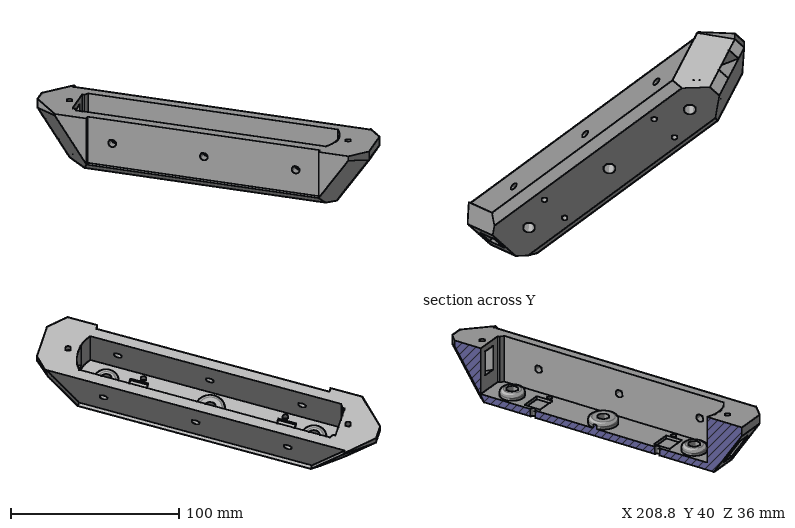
import cadquery as cq
import math

length = 208.8
width = 40.0
height = 36.0
half_length = length / 2
half_width = width / 2
bottom_half_length = 84.4
tip_height = 5.8
left_flat = 4.2
right_flat = 10.2
bottom_chamfer = 5.2
slope = (half_length - bottom_half_length) / (height - tip_height)
rake = math.hypot(1, slope)

recess_depth = 2.5
edge_land = 0.1
wall_y = half_width - recess_depth

pocket_half_width = 11.7
pocket_straight = 77.9
pocket_right_end = 81.8
pocket_left_end = 80.8
pocket_step_x = 79.5
pocket_left_flat = 9.5
floor = 5.2

boss_pitch = 64.5
boss_height = 4.2
screw_diameter = 7.0
side_boss_diameter = 15.2
side_boss_round = 2.3
center_boss_diameter = 18.2
center_boss_round = 2.0
pad_x = 46.0
pad_size = (11.0, 13.4)
pad_depth = 2.0
pin_diameter = 3.3
pin_x = 44.0
pin_y = 9.0

slot_width = 8.4
slot_outer_top = 23.2
left_slot_bottom = 10.9
right_slot_bottom = 5.6
left_slot_rise = 0.45
end_hole_left_x = -85.8
end_hole_right_x = 88.1
end_hole_depth = 10.5
side_hole_diameter = 4.8
side_hole_pitch = 57.2
side_hole_z = 20.5


def corner_x(flat, end_x, stretch=1.0):
    """Distance along X at which an end's corner cut reaches the side face."""
    return end_x - (half_width - flat) * stretch


def plan(end_x, stretch=1.0):
    """Eight-sided plan outline with corner cuts at both ends."""
    left = corner_x(left_flat, end_x, stretch)
    right = corner_x(right_flat, end_x, stretch)
    return [
        (-end_x, -left_flat), (-left, -half_width),
        (right, -half_width), (end_x, -right_flat),
        (end_x, right_flat), (right, half_width),
        (-left, half_width), (-end_x, left_flat),
    ]


def make_body():
    upright = cq.Workplane("XY").polyline(plan(half_length)).close().extrude(height)
    top_half_length = bottom_half_length + slope * height
    raked = (
        cq.Workplane("XY").polyline(plan(bottom_half_length, rake)).close()
        .workplane(offset=height).polyline(plan(top_half_length, rake)).close()
        .loft(ruled=True)
    )
    section_y = half_width - bottom_chamfer
    section = (
        cq.Workplane("YZ")
        .polyline([
            (-section_y, 0), (section_y, 0), (half_width, bottom_chamfer),
            (half_width, height), (-half_width, height), (-half_width, bottom_chamfer),
        ]).close().extrude(half_length, both=True)
    )
    return upright.intersect(raked).intersect(section)


ledge_half_length = bottom_half_length + slope * bottom_chamfer
recess_left = -corner_x(left_flat, ledge_half_length, rake)
recess_right = corner_x(right_flat, ledge_half_length, rake)
recess_mid = (recess_left + recess_right) / 2


def make_recess(flare, inset, start_y):
    """Side cut above the chamfer; flare widens it on each end at the top."""
    left = recess_left + inset
    right = recess_right - inset
    return (
        cq.Workplane("XZ", origin=(0, start_y, 0))
        .polyline([
            (left, bottom_chamfer), (right, bottom_chamfer),
            (right + flare, height), (left - flare, height),
        ]).close().extrude(-recess_depth)
    )


def make_pocket():
    return (
        cq.Workplane("XY", origin=(0, 0, floor))
        .moveTo(-pocket_straight, -pocket_half_width)
        .lineTo(pocket_straight, -pocket_half_width)
        .threePointArc((pocket_right_end, 0), (pocket_straight, pocket_half_width))
        .lineTo(-pocket_straight, pocket_half_width)
        .lineTo(-pocket_step_x, pocket_left_flat)
        .lineTo(-pocket_left_end, pocket_left_flat)
        .lineTo(-pocket_left_end, -pocket_left_flat)
        .lineTo(-pocket_step_x, -pocket_left_flat)
        .close().extrude(height - floor)
    )


def make_slot(side, outer_bottom, rise):
    """Rectangular passage climbing from a raked end into the pocket."""
    outer_low = bottom_half_length + slope * outer_bottom
    outer_high = bottom_half_length + slope * slot_outer_top
    inner = pocket_straight
    rise_low = rise * (outer_low - inner)
    rise_high = rise * (outer_high - inner)
    return (
        cq.Workplane("XZ")
        .polyline([
            (side * outer_low, outer_bottom), (side * outer_high, slot_outer_top),
            (side * inner, slot_outer_top + rise_high),
            (side * inner, outer_bottom + rise_low),
        ]).close().extrude(slot_width / 2, both=True)
    )


def make_boss(x, diameter, edge_round):
    return (
        cq.Workplane("XY", origin=(x, 0, floor)).circle(diameter / 2)
        .extrude(boss_height).faces(">Z").edges().fillet(edge_round)
    )


result = make_body()
result = result.cut(make_recess(0, 0, -half_width))
flare = slope * (height - bottom_chamfer)
result = result.cut(make_recess(flare, edge_land, wall_y))
result = result.cut(make_pocket())
result = result.cut(make_slot(-1, left_slot_bottom, left_slot_rise))
result = result.cut(make_slot(1, right_slot_bottom, slope))

for side in (-1, 1):
    result = result.union(make_boss(side * boss_pitch, side_boss_diameter, side_boss_round))
    pad = cq.Workplane("XY", origin=(side * pad_x, 0, floor)).rect(*pad_size).extrude(-pad_depth)
    result = result.cut(pad)
result = result.union(make_boss(0, center_boss_diameter, center_boss_round))

screw_points = [(-boss_pitch, 0), (0, 0), (boss_pitch, 0)]
result = result.cut(
    cq.Workplane("XY").pushPoints(screw_points).circle(screw_diameter / 2).extrude(height)
)
pin_points = [(x, y) for x in (-pin_x, pin_x) for y in (-pin_y, pin_y)]
result = result.cut(
    cq.Workplane("XY").pushPoints(pin_points).circle(pin_diameter / 2).extrude(height)
)

end_points = [(end_hole_left_x, 0), (end_hole_right_x, 0)]
result = result.cut(
    cq.Workplane("XY", origin=(0, 0, height)).pushPoints(end_points)
    .circle(pin_diameter / 2).extrude(-end_hole_depth)
)

side_points = [(recess_mid + i * side_hole_pitch, side_hole_z) for i in (-1, 0, 1)]
result = result.cut(
    cq.Workplane("XZ").pushPoints(side_points)
    .circle(side_hole_diameter / 2).extrude(half_width, both=True)
)